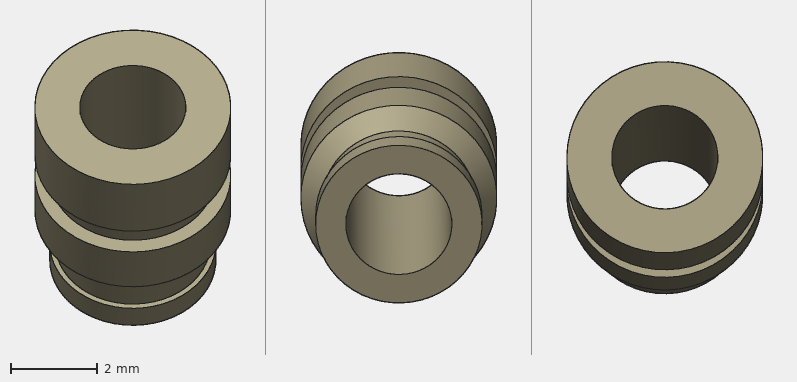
import cadquery as cq

body_diameter = 4.55
ring_diameter = 3.86
neck_diameter = 3.61
bore_diameter = 2.46

total_height = 5.74
foot_height = 0.64
groove_width = 0.78
lower_band_height = 1.31

body_radius = body_diameter / 2
ring_radius = ring_diameter / 2
neck_radius = neck_diameter / 2
bore_radius = bore_diameter / 2

cone_height = body_radius - neck_radius

neck_top = foot_height + groove_width
cone_top = neck_top + cone_height
groove_bottom = cone_top + lower_band_height
groove_top = groove_bottom + groove_width

half_section = [
    (bore_radius, 0),
    (ring_radius, 0),
    (ring_radius, foot_height),
    (neck_radius, foot_height),
    (neck_radius, neck_top),
    (body_radius, cone_top),
    (body_radius, groove_bottom),
    (ring_radius, groove_bottom),
    (ring_radius, groove_top),
    (body_radius, groove_top),
    (body_radius, total_height),
    (bore_radius, total_height),
]

result = (
    cq.Workplane("XZ")
    .polyline(half_section)
    .close()
    .revolve(360, (0, 0, 0), (0, 1, 0))
)